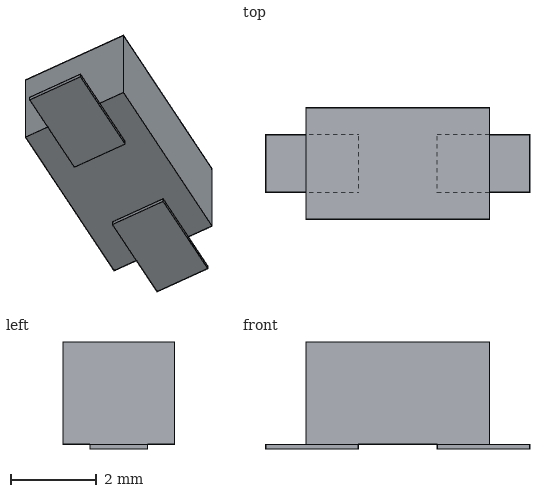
import cadquery as cq

total_length = 6.16
total_height = 2.5

body_length = 4.29
body_width = 2.61

lead_length = 2.16
lead_width = 1.35
lead_thickness = 0.11

body_height = total_height - lead_thickness
lead_center_x = (total_length - lead_length) / 2


def make_body():
    """Plain block resting on top of the leads."""
    return (
        cq.Workplane("XY")
        .workplane(offset=lead_thickness)
        .rect(body_length, body_width)
        .extrude(body_height)
    )


def make_lead(side):
    """Flat strip reaching from under the body past its end; side is -1 or +1 along X."""
    return (
        cq.Workplane("XY")
        .center(side * lead_center_x, 0)
        .rect(lead_length, lead_width)
        .extrude(lead_thickness)
    )


body = make_body()
leads = [make_lead(side) for side in (-1, 1)]

result = cq.Compound.makeCompound([body.val(), *[lead.val() for lead in leads]])